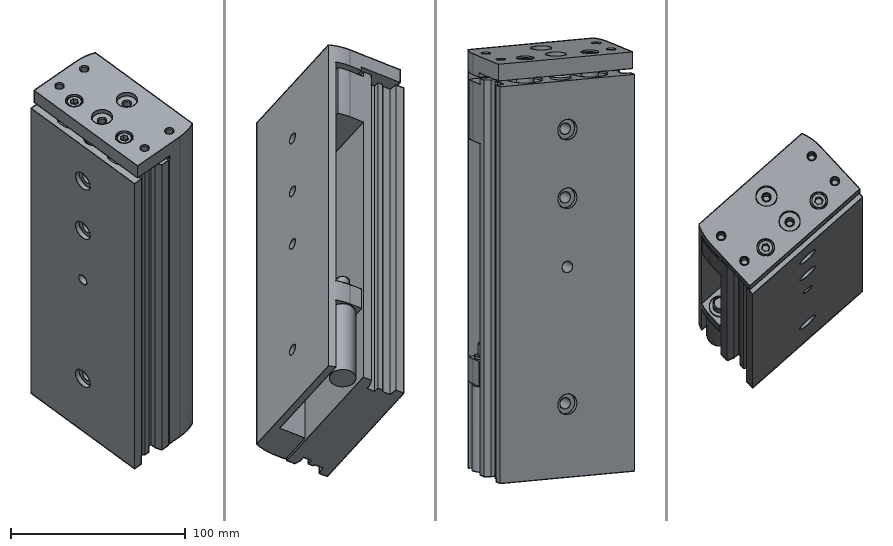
import cadquery as cq
import math

LENGTH = 244.5
WIDTH = 85.0
DEPTH = 49.0
HALF_WIDTH = WIDTH / 2

EDGE_ROUND_RADIUS = 31.8
EDGE_ROUND_START_Y = 36.2

HOUSING_TOP_Z = 232.0
HOUSING_BACK_Y = 27.2
FLANGE_THICKNESS = 5.5
FLANGE_SLOPE = 0.7
RELIEF_DEPTH = 5.1
RIB_BOTTOM_Y = 12.0
RIB_SLOPE = 1.0
RIB_TOP_Y = 15.2
RIB_INSET = 4.0
SENSOR_SLOT_DEPTH = 7.3
SENSOR_SLOT_TOP_Y = 20.3
SLOT_LIP_Y = 21.8

STOP_BOTTOM_Z = 193.7
STOP_TOP_Z = 228.5
STOP_BACK_Y = 43.5
STOP_RIGHT_X = 19.5

MOUNT_PITCH = 40.0
MOUNT_BOTTOM_Z = 42.8
PLAIN_MOUNT_Z = MOUNT_BOTTOM_Z + 2 * MOUNT_PITCH
MOUNT_BORED_Z = [MOUNT_BOTTOM_Z, PLAIN_MOUNT_Z + MOUNT_PITCH, PLAIN_MOUNT_Z + 2 * MOUNT_PITCH]
MOUNT_DIAMETER = 6.5
COUNTERBORE_DIAMETER = 12.0
MOUNT_COUNTERBORE_DEPTH = 3.0

TABLE_BOTTOM_Z = 0.7
PLATE_INNER_Y = 44.8
LEG_FRONT_Y = 28.0
LEG_LEFT_X = 21.0
LEG_CHAMFER = 1.5
END_PLATE_FRONT_Y = 2.5
END_PLATE_BOTTOM_Z = 234.8
LIP_BOTTOM_Z = 232.4
LIP_FRONT_Y = 28.4

LUG_BOTTOM_Z = 51.5
LUG_TOP_Z = 66.3
LUG_RIGHT_X = -25.7

END_HOLE_Y = [15.5, 35.2]
END_CORNER_X = 35.0
END_HOLE_DIAMETER = 4.2
END_HOLE_MOUTH_DIAMETER = 5.5
END_COUNTERBORE_DEPTH = 3.0
END_HOLE_DEPTH = 6.0

ROD_X = 20.5
ROD_Y = 13.2
ROD_DIAMETER = 10.0
ROD_BOTTOM_Z = 208.0
ROD_CHAMFER = 1.0
ROD_RECESS_DEPTH = 0.7
ROD_TOP_Z = LENGTH - ROD_RECESS_DEPTH
ROD_SEAL_DIAMETER = 20.0
ROD_SEAL_DEPTH = 1.2
HEX_ACROSS_FLATS = 4.2
HEX_DEPTH = 3.7

ADJUSTER_Y = 36.5
ADJUSTER_DIAMETER = 15.2
ADJUSTER_X = -HALF_WIDTH + ADJUSTER_DIAMETER / 2
ADJUSTER_CHAMFER = 1.0
COLLAR_DIAMETER = 12.0
COLLAR_HEIGHT = 1.5
STUD_DIAMETER = 7.8
STUD_TOP_Z = 75.3
STUD_CHAMFER = 0.7

BUMPER_Y = 9.0
BUMPER_DIAMETER = 12.0
BUMPER_TIP_DIAMETER = 8.0
BUMPER_RIM_HEIGHT = 1.2
BUMPER_TIP_HEIGHT = 1.0


def block(x_range, y_range, z_range):
    """Box given by its limits along each axis."""
    size = [high - low for low, high in (x_range, y_range, z_range)]
    corner = (x_range[0], y_range[0], z_range[0])
    return cq.Workplane("XY").box(*size, centered=False).translate(corner)


def cylinder(x, y, diameter, bottom_z, top_z):
    """Upright round bar."""
    return cq.Workplane("XY", origin=(x, y, bottom_z)).circle(diameter / 2).extrude(top_z - bottom_z)


def cone(x, y, bottom_diameter, top_diameter, bottom_z, top_z):
    """Upright cone frustum."""
    return (
        cq.Workplane("XY", origin=(x, y, bottom_z))
        .circle(bottom_diameter / 2)
        .workplane(offset=top_z - bottom_z)
        .circle(top_diameter / 2)
        .loft()
    )


def edge_round_inset(y):
    """How far the rounded side lies inside the full width at depth y."""
    rise = y - EDGE_ROUND_START_Y
    return EDGE_ROUND_RADIUS - math.sqrt(EDGE_ROUND_RADIUS**2 - rise**2)


def rounded_envelope():
    """Full-length bar with the two rounded long edges of the table side."""
    middle_y = (EDGE_ROUND_START_Y + DEPTH) / 2
    middle_x = HALF_WIDTH - edge_round_inset(middle_y)
    back_x = HALF_WIDTH - edge_round_inset(DEPTH)
    return (
        cq.Workplane("XY")
        .moveTo(-HALF_WIDTH, 0)
        .lineTo(HALF_WIDTH, 0)
        .lineTo(HALF_WIDTH, EDGE_ROUND_START_Y)
        .threePointArc((middle_x, middle_y), (back_x, DEPTH))
        .lineTo(-back_x, DEPTH)
        .threePointArc((-middle_x, middle_y), (-HALF_WIDTH, EDGE_ROUND_START_Y))
        .close()
        .extrude(LENGTH)
    )


def cut_mount_holes(part):
    """Holes along Y that pass through the whole unit."""
    for z in [PLAIN_MOUNT_Z, *MOUNT_BORED_Z]:
        hole = cq.Workplane("XZ", origin=(0, 0, z)).circle(MOUNT_DIAMETER / 2).extrude(-DEPTH)
        part = part.cut(hole)
    return part


def make_housing():
    side_profile = [
        (HALF_WIDTH, 0),
        (HALF_WIDTH, FLANGE_THICKNESS),
        (HALF_WIDTH - RELIEF_DEPTH, FLANGE_THICKNESS + FLANGE_SLOPE),
        (HALF_WIDTH - RELIEF_DEPTH, RIB_BOTTOM_Y - RIB_SLOPE),
        (HALF_WIDTH - RIB_INSET, RIB_BOTTOM_Y),
        (HALF_WIDTH - RIB_INSET, RIB_TOP_Y),
        (HALF_WIDTH - SENSOR_SLOT_DEPTH, RIB_TOP_Y),
        (HALF_WIDTH - SENSOR_SLOT_DEPTH, SENSOR_SLOT_TOP_Y),
        (HALF_WIDTH - RIB_INSET, SENSOR_SLOT_TOP_Y),
        (HALF_WIDTH, SLOT_LIP_Y),
        (HALF_WIDTH, HOUSING_BACK_Y),
    ]
    mirrored_profile = [(-x, y) for x, y in reversed(side_profile)]
    housing = cq.Workplane("XY").polyline(side_profile + mirrored_profile).close().extrude(HOUSING_TOP_Z)

    stop = block(
        (-HALF_WIDTH, STOP_RIGHT_X), (HOUSING_BACK_Y, STOP_BACK_Y), (STOP_BOTTOM_Z, STOP_TOP_Z)
    )
    housing = housing.union(stop.intersect(rounded_envelope()))

    housing = cut_mount_holes(housing)
    for z in MOUNT_BORED_Z:
        mouth = cq.Workplane("XZ", origin=(0, 0, z)).circle(COUNTERBORE_DIAMETER / 2)
        housing = housing.cut(mouth.extrude(-MOUNT_COUNTERBORE_DEPTH))

    for x in (-ROD_X, ROD_X):
        housing = housing.cut(cylinder(x, ROD_Y, ROD_DIAMETER, ROD_BOTTOM_Z, HOUSING_TOP_Z))
        seal_floor_z = HOUSING_TOP_Z - ROD_SEAL_DEPTH
        housing = housing.cut(cylinder(x, ROD_Y, ROD_SEAL_DIAMETER, seal_floor_z, HOUSING_TOP_Z))
    return housing


def cut_end_hole(table, x, y, face_z):
    """Blind screw hole in the end plate with a countersunk mouth at face_z."""
    mouth_depth = (END_HOLE_MOUTH_DIAMETER - END_HOLE_DIAMETER) / 2
    hole = cylinder(x, y, END_HOLE_DIAMETER, face_z - END_HOLE_DEPTH, face_z)
    mouth = cone(x, y, END_HOLE_DIAMETER, END_HOLE_MOUTH_DIAMETER, face_z - mouth_depth, face_z)
    return table.cut(hole).cut(mouth)


def make_table():
    full_x = (-HALF_WIDTH, HALF_WIDTH)
    plate = block(full_x, (PLATE_INNER_Y, DEPTH), (TABLE_BOTTOM_Z, LENGTH))
    leg = block((LEG_LEFT_X, HALF_WIDTH), (LEG_FRONT_Y, DEPTH), (TABLE_BOTTOM_Z, LIP_BOTTOM_Z))
    leg_chamfer = (
        cq.Workplane("XZ", origin=(LEG_LEFT_X, LIP_FRONT_Y, LIP_BOTTOM_Z))
        .polyline([(0, 0), (-LEG_CHAMFER, 0), (0, -LEG_CHAMFER)])
        .close()
        .extrude(LIP_FRONT_Y - PLATE_INNER_Y)
    )
    end_plate = block(full_x, (END_PLATE_FRONT_Y, DEPTH), (END_PLATE_BOTTOM_Z, LENGTH))
    lip = block(full_x, (LIP_FRONT_Y, DEPTH), (LIP_BOTTOM_Z, LENGTH))
    lug = block((-HALF_WIDTH, LUG_RIGHT_X), (LIP_FRONT_Y, DEPTH), (LUG_BOTTOM_Z, LUG_TOP_Z))
    table = plate.union(leg).union(leg_chamfer).union(end_plate).union(lip).union(lug)
    table = cut_mount_holes(table.intersect(rounded_envelope()))

    counterbore_floor_z = LENGTH - END_COUNTERBORE_DEPTH
    for y in END_HOLE_Y:
        for x in (-END_CORNER_X, END_CORNER_X):
            table = cut_end_hole(table, x, y, LENGTH)
        table = table.cut(cylinder(0, y, COUNTERBORE_DIAMETER, counterbore_floor_z, LENGTH))
        table = cut_end_hole(table, 0, y, counterbore_floor_z)

    for x in (-ROD_X, ROD_X):
        table = table.cut(cylinder(x, ROD_Y, ROD_DIAMETER, END_PLATE_BOTTOM_Z, LENGTH))
    return table.cut(cylinder(ADJUSTER_X, ADJUSTER_Y, STUD_DIAMETER, LUG_BOTTOM_Z, LUG_TOP_Z))


def make_rod(x):
    """Rod that joins the housing to the end plate, with a hexagon socket in its top."""
    rod = cylinder(x, ROD_Y, ROD_DIAMETER, ROD_BOTTOM_Z, ROD_TOP_Z).faces(">Z").chamfer(ROD_CHAMFER)
    hex_across_corners = HEX_ACROSS_FLATS / math.cos(math.pi / 6)
    socket = cq.Workplane("XY").polygon(6, hex_across_corners).extrude(-HEX_DEPTH)
    socket = socket.rotate((0, 0, 0), (0, 0, 1), 90).translate((x, ROD_Y, ROD_TOP_Z))
    return rod.cut(socket)


def make_adjuster():
    """Round adjuster below the lug, with a stud that passes up through it to a collar."""
    barrel = cylinder(ADJUSTER_X, ADJUSTER_Y, ADJUSTER_DIAMETER, TABLE_BOTTOM_Z, LUG_BOTTOM_Z)
    stud = cylinder(ADJUSTER_X, ADJUSTER_Y, STUD_DIAMETER, LUG_BOTTOM_Z, STUD_TOP_Z)
    collar = cylinder(ADJUSTER_X, ADJUSTER_Y, COLLAR_DIAMETER, LUG_TOP_Z, LUG_TOP_Z + COLLAR_HEIGHT)
    barrel = barrel.faces(">Z").chamfer(ADJUSTER_CHAMFER)
    return barrel.union(stud.faces(">Z").chamfer(STUD_CHAMFER)).union(collar)


def make_bumper():
    """Button on top of the housing with a tapered tip."""
    rim_z = HOUSING_TOP_Z + BUMPER_RIM_HEIGHT
    button = cylinder(0, BUMPER_Y, BUMPER_DIAMETER, HOUSING_TOP_Z, rim_z)
    tip_z = rim_z + BUMPER_TIP_HEIGHT
    tip = cone(0, BUMPER_Y, BUMPER_DIAMETER, BUMPER_TIP_DIAMETER, rim_z, tip_z)
    return button.union(tip)


housing = make_housing()
table = make_table()
rods = [make_rod(x) for x in (-ROD_X, ROD_X)]
adjuster = make_adjuster()
bumper = make_bumper()

result = cq.Compound.makeCompound(
    [housing.val(), table.val(), *[rod.val() for rod in rods], adjuster.val(), bumper.val()]
)